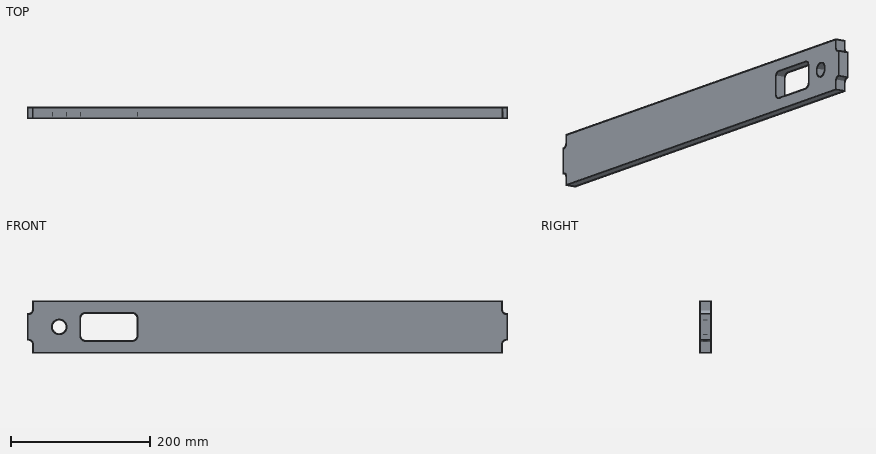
import cadquery as cq

length = 689.0
thickness = 16.0
height = 74.5

tab_projection = 7.5
tab_height = 37.0
tab_root_radius = 6.0

hole_diameter = 21.0
hole_offset = 45.5

window_length = 82.0
window_height = 40.0
window_corner_radius = 7.5
window_offset = 76.0

left_end = -length / 2
shoulder_x = length / 2 - tab_projection


def block(size_x, size_z, center_x):
    """Plate of full thickness, centred on Y and Z."""
    return cq.Workplane("XY").box(size_x, thickness, size_z).translate((center_x, 0, 0))


bar = block(2 * shoulder_x, height, 0)
tab_strip = block(length, tab_height, 0)
body = bar.union(tab_strip)

root_corners = [(side * shoulder_x, 0, level * tab_height / 2) for side in (-1, 1) for level in (-1, 1)]
for corner in root_corners:
    body = body.edges(cq.NearestToPointSelector(corner)).fillet(tab_root_radius)

window_center = left_end + window_offset + window_length / 2
window = block(window_length, window_height, window_center).edges("|Y").fillet(window_corner_radius)
hole = (
    cq.Workplane("XZ")
    .center(left_end + hole_offset, 0)
    .circle(hole_diameter / 2)
    .extrude(thickness / 2, both=True)
)

result = body.cut(window).cut(hole)